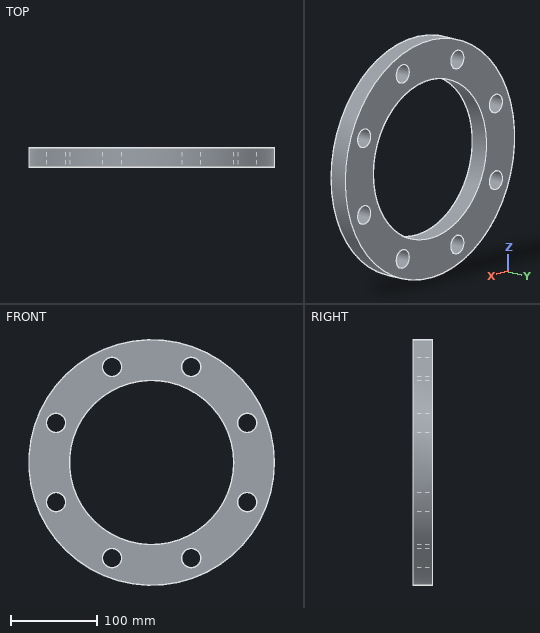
import cadquery as cq

outer_diameter = 285.0
bore_diameter = 190.0
thickness = 23.0

hole_count = 8
hole_diameter = 22.0
bolt_circle_diameter = 240.0
hole_pitch_angle = 360 / hole_count
first_hole_angle = hole_pitch_angle / 2


def make_ring():
    """Ring with one flat face at Y = 0 and the other at Y = -thickness."""
    return (
        cq.Workplane("XZ")
        .circle(outer_diameter / 2)
        .circle(bore_diameter / 2)
        .extrude(thickness)
    )


def make_bolt_holes():
    """Cylinders that pass through the full ring thickness."""
    return (
        cq.Workplane("XZ")
        .polarArray(bolt_circle_diameter / 2, first_hole_angle, 360, hole_count)
        .circle(hole_diameter / 2)
        .extrude(thickness)
    )


result = make_ring().cut(make_bolt_holes())